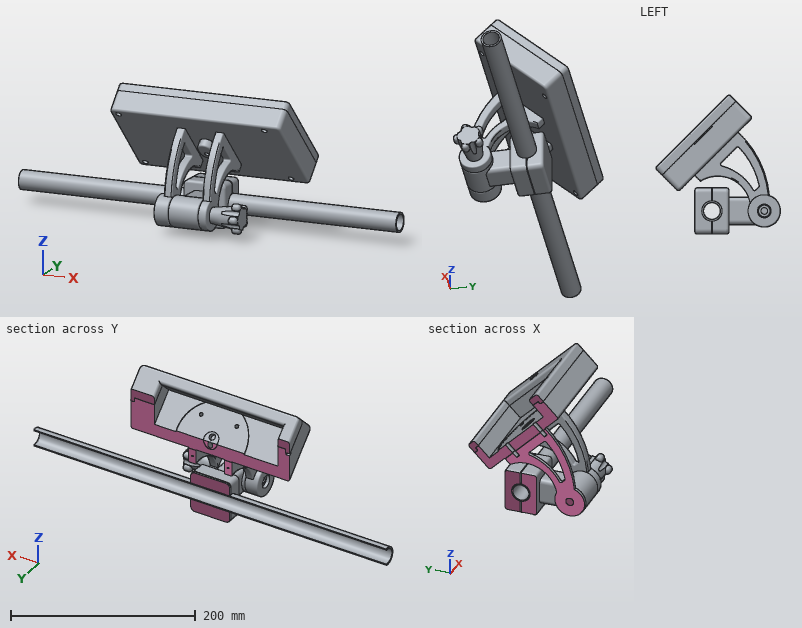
import cadquery as cq
import math


tube_length = 450
tube_diameter = 22.0
tube_bore = 18.0
tube_y = 56.5

clamp_width = 50.5
clamp_depth = 37.5
clamp_height = 50.5
clamp_gap = 1.0
clamp_side_fillet = 5.5
clamp_face_fillet = 3.0

hub_diameter = 35.0
hub_length = 35.0
hub_fillet = 1.5
link_width = 29.0
link_height = 30.0
link_fillet = 5.0

arm_inner_x = 18.0
arm_thickness = 10.0
arm_outer_x = arm_inner_x + arm_thickness
left_hub_outer_x = 34.5
arm_edge_fillet = 1.5
arm_window_margin = 11.0
arm_window_fillet = 2.0
arm_screw_depth = 6.8
arm_trim = 4.5

bolt_diameter = 8.0
bolt_head_diameter = 12.5
bolt_head_length = 8.0
bolt_socket_diameter = 7.0
bolt_socket_depth = 4.5
bolt_recess_diameter = 15.0
bolt_recess_depth = 11.5
bolt_knob_engagement = 22.5

knob_neck_radius = 9.0
knob_cone_radius = 12.5
knob_cone_length = 25.0
knob_head_length = 10.5
lobe_count = 5
lobe_diameter = 8.5
lobe_circle_radius = 13.0
lobe_fillet = 3.0
notch_diameter = 7.0
notch_circle_radius = 14.5
notch_start = 15.0

tilt = math.radians(45)
case_distance = 80.5
case_rise = 6.0
case_width = 203.5
case_length = 113.5
case_thickness = 36.0
case_corner_fillet = 5.5
case_edge_fillet = 2.5
floor_thickness = 11.0
lid_rim_thickness = 11.0
lid_plate_thickness = 7.0
lid_rim_width = 5.0

window_width = 157.0
window_length = 89.0
window_x = -7.5
window_rise = -2.0
window_fillet = 2.5

button_x = 88.5
button_rise = -9.0
button_diameter = 6.5
button_groove_diameter = 10.5
button_groove_depth = 1.5

slot_rise = 5.5
slot_length = 27.0
slot_height = 1.5
slot_depth = 4.5

case_screw_x = -6.0
case_screw_spacing_x = 173.5
case_screw_spacing_y = 98.0
case_screw_diameter = 6.5
case_screw_depth = 6.8

pad_radius = 43.5
pad_height = 1.0
pad_rise = 6.0
arm_screw_spacing = 45.5
arm_screw_diameter = 4.2
plug_diameter = 18.0
plug_foot_length = 25.0
plug_foot_rise = -2.0
plug_foot_height = 9.5
plug_foot_fillet = 2.0
plug_hole_diameter = 5.5
plug_hole_rise = -5.5
plug_recess_diameter = 7.0
plug_recess_rise = 3.0
plug_recess_depth = 5.5

case_frame = cq.Plane(
    origin=(0, 0, 0), xDir=(1, 0, 0), normal=(0, math.sin(tilt), math.cos(tilt))
)
case_y = -case_rise
pad_y = case_y - pad_rise
window_y = case_y - window_rise
floor_level = case_distance + floor_thickness
pad_level = floor_level + pad_height
case_top = case_distance + case_thickness
joint_level = case_top - lid_rim_thickness
plate_level = case_top - lid_plate_thickness


def case_box(width, length, bottom, top, x=0.0, y=case_y):
    """Box in the case frame between two levels, not yet tilted."""
    return (
        cq.Workplane("XY").workplane(offset=bottom).center(x, y).rect(width, length).extrude(top - bottom)
    )


def case_cylinder(diameter, bottom, top, points):
    """Cylinders in the case frame between two levels, not yet tilted."""
    return (
        cq.Workplane("XY").workplane(offset=bottom).pushPoints(points).circle(diameter / 2)
        .extrude(top - bottom)
    )


def tilted(body):
    """Moves a body from the case frame to its place above the pivot."""
    return cq.Workplane(body.val().moved(cq.Location(case_frame)))


def x_cylinder(diameter, start, end, y=0.0):
    """Cylinder along X at height zero."""
    return cq.Workplane("YZ", origin=(start, y, 0)).circle(diameter / 2).extrude(end - start)


def arm_screw_points():
    half = arm_screw_spacing / 2
    return [(sx * half, pad_y + sy * half) for sx in (-1, 1) for sy in (-1, 1)]


def make_tube():
    outer = x_cylinder(tube_diameter, -tube_length / 2, tube_length / 2, tube_y)
    return outer.cut(x_cylinder(tube_bore, -tube_length / 2, tube_length / 2, tube_y))


def make_clamp_block():
    block = cq.Workplane("XY").box(clamp_width, clamp_depth, clamp_height)
    block = block.edges("|Y").fillet(clamp_side_fillet)
    return block.faces("<Y or >Y").edges().fillet(clamp_face_fillet).translate((0, tube_y, 0))


def make_clamp_half(side):
    """Half of the clamp block on the given side (-1 front, +1 rear) of the tube axis."""
    depth = (clamp_depth - clamp_gap) / 2
    center_y = tube_y + side * (clamp_gap + depth) / 2
    half_space = cq.Workplane("XY").box(clamp_width, depth, clamp_height).translate((0, center_y, 0))
    half = make_clamp_block().intersect(half_space)
    return half.cut(x_cylinder(tube_diameter, -clamp_width, clamp_width, tube_y))


def make_clamp_front():
    link_length = tube_y - clamp_depth / 2
    link = cq.Workplane("XY").box(link_width, link_length, link_height, centered=(True, False, True))
    link = link.edges("|Y").fillet(link_fillet)
    hub = x_cylinder(hub_diameter, -hub_length / 2, hub_length / 2).edges().fillet(hub_fillet)
    body = make_clamp_half(-1).union(link).union(hub)
    return body.cut(x_cylinder(bolt_diameter, -hub_length, hub_length))


def arm_plate(start_x):
    """Curved arm with its window; x of the sketch points down the slope, y away from the pivot."""
    top = case_distance + arm_trim
    window_top = case_distance - arm_window_margin
    plane = cq.Plane(
        origin=(start_x, 0, 0),
        xDir=(0, math.cos(tilt), -math.sin(tilt)),
        normal=(1, 0, 0),
    )
    outline = (
        cq.Workplane(plane)
        .moveTo(-40.0, top)
        .threePointArc((-35.0, 42.8), (-15.5, 7.0))
        .lineTo(5.5, 16.0)
        .threePointArc((2.5, 53.5), (26.0, 71.5))
        .lineTo(26.0, top)
        .close()
        .extrude(arm_thickness)
    )
    window = (
        cq.Workplane(plane)
        .moveTo(-29.2, window_top)
        .threePointArc((-25.5, 45.5), (-15.0, 22.5))
        .lineTo(-7.0, 22.5)
        .threePointArc((-9.5, 43.5), (-0.5, window_top))
        .close()
        .extrude(arm_thickness)
        .edges("|X")
        .fillet(arm_window_fillet)
    )
    plate = outline.cut(window).faces("<X or >X").edges().fillet(arm_edge_fillet)
    trim = case_box(case_width, case_length, case_distance, case_distance + 2 * arm_trim)
    return plate.cut(tilted(trim))


def make_arm(side):
    """Arm on the given side of the middle (-1 for -X, +1 for +X)."""
    start = arm_inner_x if side > 0 else -arm_outer_x
    hub_start, hub_end = (arm_inner_x, arm_outer_x) if side > 0 else (-left_hub_outer_x, -arm_inner_x)
    hub = x_cylinder(hub_diameter, hub_start, hub_end).edges().fillet(hub_fillet)
    arm = arm_plate(start).union(hub)
    screws = case_cylinder(
        arm_screw_diameter, case_distance - arm_screw_depth, case_distance, arm_screw_points()
    )
    arm = arm.cut(tilted(screws))
    arm = arm.cut(x_cylinder(bolt_diameter, -left_hub_outer_x, arm_outer_x))
    if side < 0:
        arm = arm.cut(
            x_cylinder(bolt_recess_diameter, -left_hub_outer_x, -left_hub_outer_x + bolt_recess_depth)
        )
    return arm


def make_bolt():
    seat = -left_hub_outer_x + bolt_recess_depth
    head_end = seat - bolt_head_length
    head = x_cylinder(bolt_head_diameter, head_end, seat)
    head = head.cut(x_cylinder(bolt_socket_diameter, head_end, head_end + bolt_socket_depth))
    return head.union(x_cylinder(bolt_diameter, seat, arm_outer_x + bolt_knob_engagement))


def around_pivot(body, radius, step):
    """Moves a body out by the radius and round the pivot axis by a number of lobe steps from +Y."""
    return body.translate((0, radius, 0)).rotate((0, 0, 0), (1, 0, 0), step * 360 / lobe_count)


def make_knob():
    cone_end = arm_outer_x + knob_cone_length
    head_end = cone_end + knob_head_length
    knob = (
        cq.Workplane("XY")
        .moveTo(arm_outer_x, 0)
        .lineTo(arm_outer_x, knob_neck_radius)
        .lineTo(cone_end, knob_cone_radius)
        .lineTo(head_end, knob_cone_radius)
        .lineTo(head_end, 0)
        .close()
        .revolve(360, (0, 0, 0), (1, 0, 0))
    )
    for index in range(lobe_count):
        lobe = x_cylinder(lobe_diameter, cone_end, head_end).edges().fillet(lobe_fillet)
        knob = knob.union(around_pivot(lobe, lobe_circle_radius, index + 0.5))
    for index in range(lobe_count):
        notch = x_cylinder(notch_diameter, arm_outer_x + notch_start, head_end)
        knob = knob.cut(around_pivot(notch, notch_circle_radius, index))
    return knob.cut(x_cylinder(bolt_diameter, arm_outer_x, arm_outer_x + bolt_knob_engagement))


def make_case_block():
    block = case_box(case_width, case_length, case_distance, case_top)
    block = block.edges("|Z").fillet(case_corner_fillet)
    return block.faces("<Z or >Z").edges().fillet(case_edge_fillet)


def lid_space():
    """Room taken by the lid: its plate and the rim that laps over the base."""
    slab = case_box(case_width, case_length, joint_level, case_top)
    tongue = case_box(
        case_width - 2 * lid_rim_width, case_length - 2 * lid_rim_width, joint_level, plate_level
    )
    return slab.cut(tongue)


def window_cavity():
    return case_box(window_width, window_length, floor_level, case_top, window_x, window_y)


def side_slot():
    left = -case_width / 2
    return case_box(
        2 * slot_depth, slot_length, joint_level - slot_height, joint_level, left, case_y - slot_rise
    )


def make_lid():
    opening = window_cavity()
    lid = make_case_block().intersect(lid_space()).cut(opening)
    window_edges = lid.faces(">Z").wires(cq.selectors.LengthNthSelector(0)).edges()
    lid = window_edges.fillet(window_fillet)
    button_point = [(button_x, case_y - button_rise)]
    groove_bottom = case_top - button_groove_depth
    groove = case_cylinder(button_groove_diameter, groove_bottom, case_top, button_point)
    groove = groove.cut(case_cylinder(button_diameter, groove_bottom, case_top, button_point))
    lid = lid.cut(groove)
    return tilted(lid)


def make_base():
    half_x = case_screw_spacing_x / 2
    half_y = case_screw_spacing_y / 2
    screw_points = [
        (case_screw_x + sx * half_x, case_y + sy * half_y) for sx in (-1, 1) for sy in (-1, 1)
    ]
    base = make_case_block().cut(lid_space()).cut(window_cavity())
    pad = case_cylinder(2 * pad_radius, floor_level, pad_level, [(0, pad_y)])
    base = base.union(pad.intersect(window_cavity()))
    base = base.cut(
        case_cylinder(case_screw_diameter, case_distance, case_distance + case_screw_depth, screw_points)
    )
    base = base.cut(case_cylinder(arm_screw_diameter, case_distance, pad_level, arm_screw_points()))
    base = base.cut(case_cylinder(plug_diameter, case_distance, pad_level, [(0, pad_y)]))
    return tilted(base.cut(side_slot()))


def make_plug():
    foot = (
        cq.Workplane("XY").workplane(offset=case_distance - plug_foot_height)
        .center(0, pad_y - plug_foot_rise).slot2D(plug_foot_length, plug_diameter, 90).extrude(plug_foot_height)
        .faces("<Z").edges().fillet(plug_foot_fillet)
    )
    plug = foot.union(case_cylinder(plug_diameter, case_distance, pad_level, [(0, pad_y)]))
    hole_point = (0, pad_y - plug_hole_rise)
    recess_point = (0, pad_y - plug_recess_rise)
    plug = plug.cut(
        case_cylinder(plug_hole_diameter, case_distance - plug_foot_height, pad_level, [hole_point])
    )
    plug = plug.cut(
        case_cylinder(plug_recess_diameter, pad_level - plug_recess_depth, pad_level, [recess_point])
    )
    return tilted(plug)


tube = make_tube()
clamp_front = make_clamp_front()
clamp_rear = make_clamp_half(1)
arms = [make_arm(side) for side in (-1, 1)]
bolt = make_bolt()
knob = make_knob()
base = make_base()
lid = make_lid()
plug = make_plug()

result = cq.Compound.makeCompound(
    [
        tube.val(),
        clamp_front.val(),
        clamp_rear.val(),
        *[arm.val() for arm in arms],
        bolt.val(),
        knob.val(),
        base.val(),
        lid.val(),
        plug.val(),
    ]
)